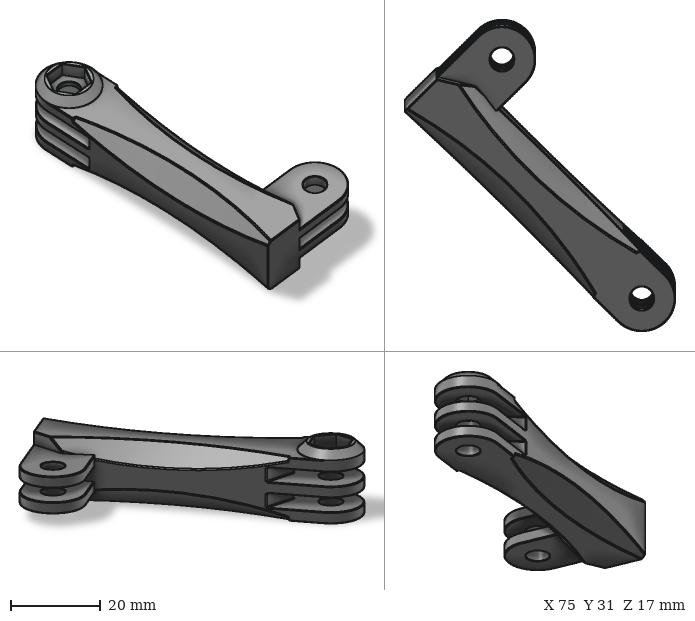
import cadquery as cq
import math

arm_length = 75.0
arm_width = 15.0
arm_half = arm_width / 2
edge_break = 0.2
rim_break = 0.15

pivot_x = arm_half
pivot_diameter = 5.3
joint_clearance = 8.5
roof_drop = 4.6
joint_pitch = 6.1
joint_levels = [arm_half - joint_pitch / 2, arm_half + joint_pitch / 2]
slot_height = 3.4
tab_thickness = 2.8
tab_pivot_x = arm_length - arm_half
tab_pivot_y = arm_half + joint_clearance

scoop_start = 15.45
scoop_end_leg = 0.9
scoop_middle_leg = 4.8

boss_top = 17.0
boss_rim = 15.1
boss_top_radius = 5.5
hex_flats = 8.8
hex_depth = 3.45


def corner_scoop():
    """Cutter with an arc-shaped floor that bevels the +Y +Z edge of the arm."""
    edge_distance = arm_width / math.sqrt(2)
    end_floor = edge_distance - scoop_end_leg / math.sqrt(2)
    middle_floor = edge_distance - scoop_middle_leg / math.sqrt(2)
    outside = edge_distance + scoop_middle_leg
    return (
        cq.Workplane("XZ")
        .moveTo(scoop_start, outside)
        .lineTo(scoop_start, end_floor)
        .threePointArc(((scoop_start + arm_length) / 2, middle_floor), (arm_length, end_floor))
        .lineTo(arm_length, outside)
        .close()
        .extrude(arm_width, both=True)
        .rotate((0, 0, 0), (1, 0, 0), -45)
        .translate((0, 0, arm_half))
    )


def prong_slot(level):
    """Slot through the prong end, closed by a roof-shaped floor."""
    peak_x = pivot_x + joint_clearance
    return (
        cq.Workplane("XY", origin=(0, 0, level))
        .polyline([
            (0, -arm_half),
            (peak_x + roof_drop, -arm_half),
            (peak_x, 0),
            (peak_x + roof_drop, arm_half),
            (0, arm_half),
        ])
        .close()
        .extrude(slot_height / 2, both=True)
    )


def make_arm():
    """Scooped and slotted arm with one roof-cut corner beside the tabs."""
    arm = (
        cq.Workplane("XY")
        .moveTo(pivot_x, -arm_half)
        .lineTo(arm_length, -arm_half)
        .lineTo(arm_length, arm_half - roof_drop)
        .lineTo(tab_pivot_x, arm_half)
        .lineTo(pivot_x, arm_half)
        .threePointArc((0, 0), (pivot_x, -arm_half))
        .close()
        .extrude(arm_width)
    )
    scoop = corner_scoop()
    for angle in (0, 90, 180, 270):
        arm = arm.cut(scoop.rotate((0, 0, arm_half), (1, 0, arm_half), angle))
    for level in joint_levels:
        arm = arm.cut(prong_slot(level))
    margin = 0.75
    smooth_seams = cq.selectors.BoxSelector(
        (pivot_x - margin, -arm_half - margin, -margin),
        (pivot_x + margin, arm_half + margin, arm_width + margin),
    )
    return arm.edges(cq.selectors.InverseSelector(smooth_seams)).chamfer(edge_break)


def make_tab(level):
    """Round-ended plate that starts inside the arm and stands out along +Y."""
    return (
        cq.Workplane("XY", origin=(0, 0, level - tab_thickness / 2))
        .moveTo(arm_length - arm_width, 0)
        .lineTo(arm_length, 0)
        .lineTo(arm_length, tab_pivot_y)
        .threePointArc((tab_pivot_x, tab_pivot_y + arm_half), (arm_length - arm_width, tab_pivot_y))
        .close()
        .extrude(tab_thickness)
        .faces("|Z").edges().chamfer(edge_break)
    )


def make_boss():
    """Conical boss, seated in the bevel of the top prong."""
    base = arm_width - edge_break
    return (
        cq.Workplane("XZ")
        .moveTo(0, base)
        .lineTo(arm_half, base)
        .lineTo(arm_half, boss_rim)
        .lineTo(boss_top_radius, boss_top)
        .lineTo(0, boss_top)
        .close()
        .revolve(360, (0, 0), (0, 1))
        .translate((pivot_x, 0, 0))
    )


def hex_pocket():
    """Nut pocket, point toward +Y, with a bevelled mouth."""
    hex_corners = hex_flats / math.cos(math.pi / 6)
    pocket = (
        cq.Workplane("XY", origin=(pivot_x, 0, boss_top - hex_depth))
        .transformed(rotate=(0, 0, 90))
        .polygon(6, hex_corners)
        .extrude(hex_depth)
    )
    mouth = (
        cq.Workplane("XY", origin=(pivot_x, 0, boss_top))
        .transformed(rotate=(180, 0, 90))
        .polygon(6, hex_corners + 2 * rim_break / math.cos(math.pi / 6))
        .extrude(2 * rim_break, taper=45)
    )
    return pocket.union(mouth)


def pivot_hole(x, y, bottom, top):
    """Hole with a bevelled rim at both ends."""
    radius = pivot_diameter / 2
    rim = radius + rim_break
    return (
        cq.Workplane("XZ")
        .polyline([
            (0, bottom),
            (rim, bottom),
            (radius, bottom + rim_break),
            (radius, top - rim_break),
            (rim, top),
            (0, top),
        ])
        .close()
        .revolve(360, (0, 0), (0, 1))
        .translate((x, y, 0))
    )


result = make_arm().union(make_boss())
for level in joint_levels:
    result = result.union(make_tab(level))
result = result.cut(hex_pocket())

half_slot = slot_height / 2
low_slot, high_slot = joint_levels
prong_spans = [
    (0, low_slot - half_slot),
    (low_slot + half_slot, high_slot - half_slot),
    (high_slot + half_slot, boss_top - hex_depth),
]
for bottom, top in prong_spans:
    result = result.cut(pivot_hole(pivot_x, 0, bottom, top))
for level in joint_levels:
    bottom = level - tab_thickness / 2
    result = result.cut(pivot_hole(tab_pivot_x, tab_pivot_y, bottom, bottom + tab_thickness))